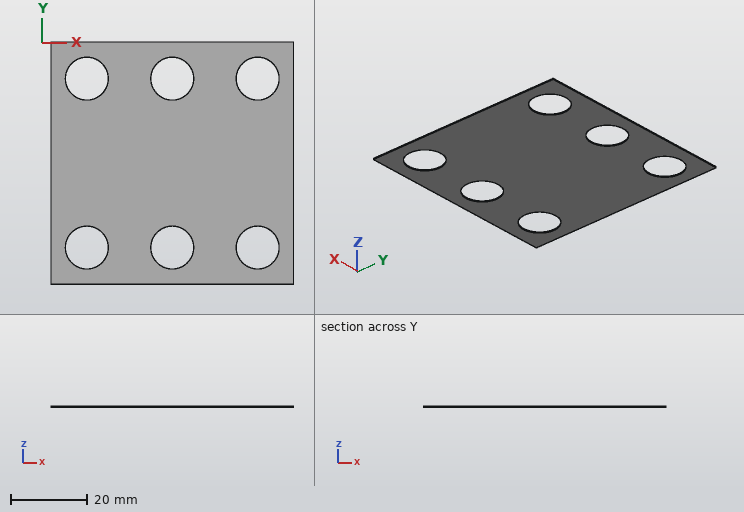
import cadquery as cq

plate_side = 63.5
plate_thickness = 0.38

hole_diameter = 11.18
holes_per_row = 3
row_count = 2
hole_pitch = 22.35
row_spacing = 44.2


def make_plate():
    return cq.Workplane("XY").box(plate_side, plate_side, plate_thickness)


def cut_holes(plate):
    return (
        plate.faces(">Z")
        .workplane(origin=(0, 0, 0))
        .rarray(hole_pitch, row_spacing, holes_per_row, row_count)
        .hole(hole_diameter)
    )


result = cut_holes(make_plate())